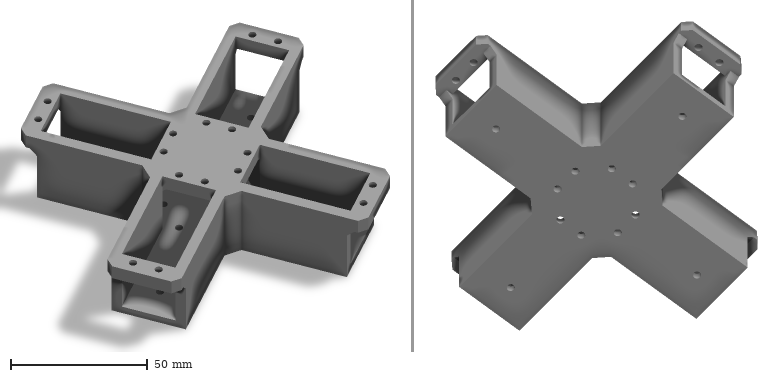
import cadquery as cq

span = 136.0
height = 30.5
arm_width = 29.1

floor_thickness = 3.3
plate_thickness = 6.1
channel_width = 21.0
end_lip = 7.3
pocket_length = 43.2

end_chamfer = 3.0
gusset_size = 3.0
web_leg = 4.9
roof_fillet = 2.0

hole_diameter = 3.0
hole_spacing = 10.0
end_hole_inset = 4.4
inner_hole_radius = 14.5
floor_hole_inset = 19.5

reach = span / 2
box_reach = reach - end_lip
pocket_inner = box_reach - pocket_length
plate_bottom = height - plate_thickness
channel_height = plate_bottom - floor_thickness
arm_angles = (0, 90, 180, 270)


def around_arms(shape):
    """Combine copies of a +X arm shape turned onto all four arms."""
    combined = shape
    for angle in arm_angles[1:]:
        combined = combined.union(shape.rotate((0, 0, 0), (0, 0, 1), angle))
    return combined


def arm():
    """Solid arm along +X: box, 45 degree gusset and overhanging plate."""
    side_profile = [
        (0, 0),
        (box_reach, 0),
        (box_reach, plate_bottom - gusset_size),
        (box_reach + gusset_size, plate_bottom),
        (reach, plate_bottom),
        (reach, height),
        (0, height),
    ]
    body = cq.Workplane("XZ").polyline(side_profile).close().extrude(arm_width / 2, both=True)
    return body.edges("|Z and >X").chamfer(end_chamfer)


def center_webs():
    """Octagonal hub that bevels the inside corners between the arms."""
    hub_size = arm_width + 2 * web_leg
    hub = cq.Workplane("XY").rect(hub_size, hub_size).extrude(height)
    return hub.edges("|Z").chamfer(web_leg)


def pocket():
    """Opening from the top of the +X arm down to its floor."""
    return (
        cq.Workplane("XY", origin=(pocket_inner + pocket_length / 2, 0, floor_thickness))
        .rect(pocket_length, channel_width)
        .extrude(height - floor_thickness)
    )


def end_window():
    """Opening through the +X end below the plate, cutting the gusset as well."""
    return (
        cq.Workplane("XY", origin=(box_reach + end_lip / 2, 0, floor_thickness))
        .rect(end_lip, channel_width)
        .extrude(channel_height)
    )


def center_chamber():
    """Octagonal room joining the four pockets, rounded along the roof of its diagonal walls."""
    room = (
        cq.Workplane("XY", origin=(0, 0, floor_thickness))
        .rect(2 * pocket_inner, 2 * pocket_inner)
        .extrude(channel_height)
        .edges("|Z")
        .chamfer(pocket_inner - channel_width / 2)
    )
    return room.faces(">Z").edges("not(|X or |Y)").fillet(roof_fillet)


def arm_holes():
    """Vertical through holes of the +X arm."""
    side = hole_spacing / 2
    places = [(reach - floor_hole_inset, 0)]
    for x in (inner_hole_radius, reach - end_hole_inset):
        places += [(x, -side), (x, side)]
    return cq.Workplane("XY").pushPoints(places).circle(hole_diameter / 2).extrude(height)


result = around_arms(arm()).union(center_webs())
for cutter in (pocket(), end_window(), arm_holes()):
    result = result.cut(around_arms(cutter))
result = result.cut(center_chamber())